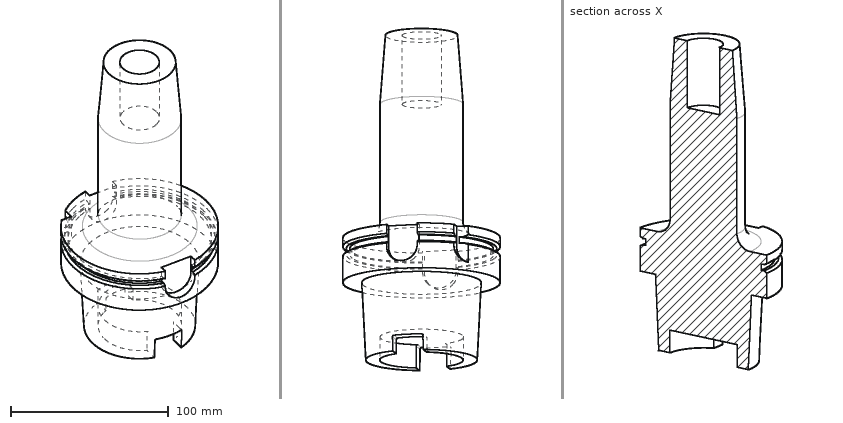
import cadquery as cq


shank_length = 50.0
shank_top_radius = 37.95
shank_taper = 1 / 20
shank_bottom_radius = shank_top_radius - shank_taper * shank_length

flange_radius = 50.0
flange_height = 29.0

stem_radius = 26.5
stem_fillet = 10.0
nose_top_radius = 23.0
nose_height = 44.5
nose_top_z = 160.0
nose_base_z = nose_top_z - nose_height

groove_center_z = 20.1
groove_mouth_width = 6.3
groove_floor_width = 3.9
groove_shoulder_radius = 47.8
groove_floor_radius = 45.6

tool_bore_diameter = 25.0
tool_bore_depth = nose_height
shank_bore_diameter = 53.0

drive_slot_width = 20.0
drive_slot_corner_radius = 1.0
shallow_drive_slot_depth = 10.0
deep_drive_slot_depth = 15.0
shank_bore_depth = deep_drive_slot_depth

rim_slot_bottom_z = 5.0
rim_slot_floor_x = 44.0
left_rim_slot_width = 20.0
right_rim_slot_width = 22.0

notch_corner_offset = 31.5
notch_width = 20.0


def turned_body():
    groove_mouth_top = groove_center_z + groove_mouth_width / 2
    groove_mouth_bottom = groove_center_z - groove_mouth_width / 2
    groove_floor_top = groove_center_z + groove_floor_width / 2
    groove_floor_bottom = groove_center_z - groove_floor_width / 2
    return (
        cq.Workplane("YZ")
        .moveTo(0, -shank_length)
        .lineTo(shank_bottom_radius, -shank_length)
        .lineTo(shank_top_radius, 0)
        .lineTo(flange_radius, 0)
        .lineTo(flange_radius, groove_mouth_bottom)
        .lineTo(groove_shoulder_radius, groove_floor_bottom)
        .lineTo(groove_floor_radius, groove_floor_bottom)
        .lineTo(groove_floor_radius, groove_floor_top)
        .lineTo(groove_shoulder_radius, groove_floor_top)
        .lineTo(flange_radius, groove_mouth_top)
        .lineTo(flange_radius, flange_height)
        .lineTo(stem_radius + stem_fillet, flange_height)
        .radiusArc((stem_radius, flange_height + stem_fillet), stem_fillet)
        .lineTo(stem_radius, nose_base_z)
        .lineTo(nose_top_radius, nose_top_z)
        .lineTo(0, nose_top_z)
        .close()
        .revolve(360, (0, 0, 0), (0, 1, 0))
    )


def vertical_bore(diameter, bottom_z, depth):
    return cq.Workplane("XY").workplane(offset=bottom_z).circle(diameter / 2).extrude(depth)


def drive_slot(side, depth):
    """Slot from the axis out through the shank wall; side is -1 for -X, +1 for +X."""
    return (
        cq.Workplane("XY")
        .box(shank_top_radius, drive_slot_width, depth, centered=(True, True, False))
        .edges("|X and >Z")
        .fillet(drive_slot_corner_radius)
        .translate((side * shank_top_radius / 2, 0, -shank_length))
    )


def rim_slot(inner_x, outer_x, center_y, width):
    """Slot along X, open at the flange top, with a half-round bottom."""
    radius = width / 2
    center_z = rim_slot_bottom_z + radius
    return (
        cq.Workplane("YZ")
        .workplane(offset=inner_x)
        .moveTo(center_y - radius, flange_height)
        .lineTo(center_y - radius, center_z)
        .threePointArc((center_y, rim_slot_bottom_z), (center_y + radius, center_z))
        .lineTo(center_y + radius, flange_height)
        .close()
        .extrude(outer_x - inner_x)
    )


result = turned_body()

result = result.cut(vertical_bore(tool_bore_diameter, nose_top_z - tool_bore_depth, tool_bore_depth))
result = result.cut(vertical_bore(shank_bore_diameter, -shank_length, shank_bore_depth))

result = result.cut(drive_slot(-1, shallow_drive_slot_depth))
result = result.cut(drive_slot(1, deep_drive_slot_depth))

result = result.cut(rim_slot(-rim_slot_floor_x, -flange_radius, 0, left_rim_slot_width))
result = result.cut(rim_slot(rim_slot_floor_x, flange_radius, 0, right_rim_slot_width))
notch_center_y = -notch_corner_offset - notch_width / 2
result = result.cut(rim_slot(-notch_corner_offset, -flange_radius, notch_center_y, notch_width))